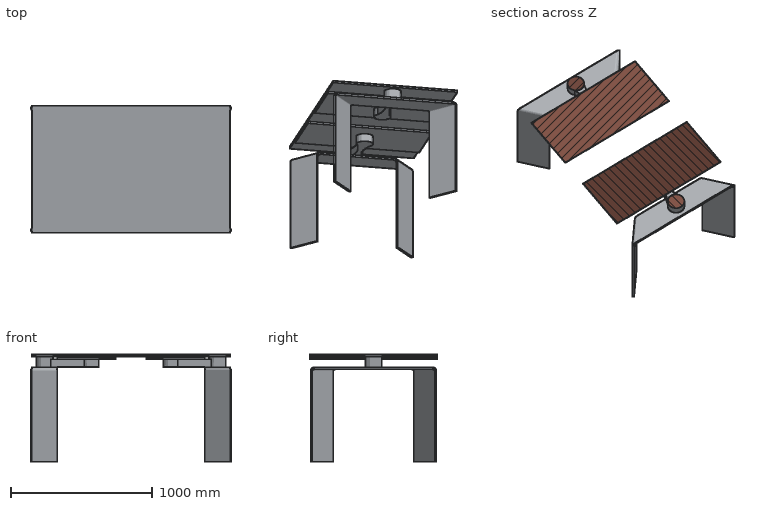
import cadquery as cq
import math

top_length = 1400.0
top_width = 900.0
top_thickness = 15.0
overall_height = 759.5
leaf_length = 415.0
leaf_thickness = 15.0
leaf_outer_x = 523.0
leaf_gap = 3.5

top_underside = overall_height - top_thickness
leaf_underside = top_underside - leaf_gap - leaf_thickness

plate_thickness = 15.0
bend_outer_radius = 26.0
bend_inner_radius = bend_outer_radius - plate_thickness
frame_top = 669.5
frame_outer_x = top_length / 2
frame_length = 180.0
frame_taper = 150.0
frame_half_width = 445.0
bend_steps = 8

leg_angle = math.atan2(frame_taper, frame_length)
leg_top = frame_top - bend_outer_radius
inward_x = -math.sin(leg_angle)
inward_y = math.cos(leg_angle)

hub_radius = 60.0
outer_hub_x = 611.0
inner_hub_x = 287.0
web_end_half_width = 42.0
web_waist_half_width = 19.0


def bend_point(corner, radius, angle):
    """Point on a bend edge; angle runs from 0 at the leg to 90 degrees at the top plate.

    The outer edge stays at the X of its corner. The inner edge lies radially behind it,
    so the plate ends square at the leg and flush with the corner at the top.
    """
    corner_x, corner_y = corner
    outer_offset = bend_outer_radius * (1 - math.cos(angle))
    along_leg = outer_offset * math.tan(leg_angle)
    offset = bend_outer_radius - radius * math.cos(angle)
    return cq.Vector(
        corner_x + along_leg * math.cos(leg_angle) + offset * inward_x,
        corner_y + along_leg * math.sin(leg_angle) + offset * inward_y,
        leg_top + radius * math.sin(angle),
    )


def bend_edge(corner, radius):
    angles = [math.pi / 2 * step / bend_steps for step in range(bend_steps + 1)]
    return cq.Edge.makeSpline([bend_point(corner, radius, angle) for angle in angles])


def joint_face(corners, angle):
    """Flat section of the bend at the given bend angle."""
    first, second = corners
    points = [
        bend_point(first, bend_outer_radius, angle),
        bend_point(second, bend_outer_radius, angle),
        bend_point(second, bend_inner_radius, angle),
        bend_point(first, bend_inner_radius, angle),
    ]
    return cq.Face.makeFromWires(cq.Wire.makePolygon(points, close=True))


outer_corner = (-frame_outer_x, -frame_half_width)
inner_corner = (-frame_outer_x + frame_length, -frame_half_width + frame_taper)
leg_corners = (outer_corner, inner_corner)


def make_leg():
    """Bend and upright at the -X, -Y corner."""
    foot = joint_face(leg_corners, 0)
    upright = cq.Solid.extrudeLinear(foot.outerWire(), [], cq.Vector(0, 0, -leg_top))
    outer_a, outer_b = [bend_edge(corner, bend_outer_radius) for corner in leg_corners]
    inner_a, inner_b = [bend_edge(corner, bend_inner_radius) for corner in leg_corners]
    bend_faces = [
        cq.Face.makeRuledSurface(outer_a, outer_b),
        cq.Face.makeRuledSurface(inner_a, inner_b),
        cq.Face.makeRuledSurface(outer_a, inner_a),
        cq.Face.makeRuledSurface(outer_b, inner_b),
        foot,
        joint_face(leg_corners, math.pi / 2),
    ]
    bend = cq.Solid.makeSolid(cq.Shell.makeShell(bend_faces))
    return cq.Workplane(obj=upright).union(cq.Workplane(obj=bend))


def make_leg_frame():
    """Trapezoidal top plate with a leg bent down along each slanted edge."""
    plate_ends = [bend_point(corner, bend_outer_radius, math.pi / 2) for corner in leg_corners]
    outer_end, inner_end = plate_ends
    plate = (
        cq.Workplane("XY", origin=(0, 0, frame_top))
        .polyline([
            (outer_end.x, outer_end.y),
            (inner_end.x, inner_end.y),
            (inner_end.x, -inner_end.y),
            (outer_end.x, -outer_end.y),
        ])
        .close()
        .extrude(-plate_thickness)
    )
    leg = make_leg()
    return plate.union(leg).union(leg.mirror("XZ"))


def make_arm():
    """Tall hub under the top, short hub under the leaf, and a waisted web between them."""
    hub_base = cq.Workplane("XY", origin=(0, 0, frame_top))
    outer_hub = hub_base.center(-outer_hub_x, 0).circle(hub_radius).extrude(top_underside - frame_top)
    inner_hub = hub_base.center(-inner_hub_x, 0).circle(hub_radius).extrude(leaf_underside - frame_top)
    reach = math.sqrt(hub_radius**2 - web_end_half_width**2)
    web_start = -outer_hub_x + reach
    web_end = -inner_hub_x - reach
    web_middle = (web_start + web_end) / 2
    web = (
        hub_base
        .moveTo(-outer_hub_x, -web_end_half_width)
        .lineTo(web_start, -web_end_half_width)
        .threePointArc((web_middle, -web_waist_half_width), (web_end, -web_end_half_width))
        .lineTo(-inner_hub_x, -web_end_half_width)
        .lineTo(-inner_hub_x, web_end_half_width)
        .lineTo(web_end, web_end_half_width)
        .threePointArc((web_middle, web_waist_half_width), (web_start, web_end_half_width))
        .lineTo(-outer_hub_x, web_end_half_width)
        .close()
        .extrude(leaf_underside - frame_top)
    )
    return outer_hub.union(inner_hub).union(web)


def make_leaf():
    return (
        cq.Workplane("XY", origin=(-leaf_outer_x, 0, leaf_underside))
        .box(leaf_length, top_width, leaf_thickness, centered=(False, True, False))
    )


table_top = (
    cq.Workplane("XY", origin=(0, 0, top_underside))
    .box(top_length, top_width, top_thickness, centered=(True, True, False))
)

solids = [table_top.val()]
for make_body in (make_leg_frame, make_arm, make_leaf):
    body = make_body()
    solids.append(body.val())
    solids.append(body.mirror("YZ").val())

result = cq.Compound.makeCompound(solids)